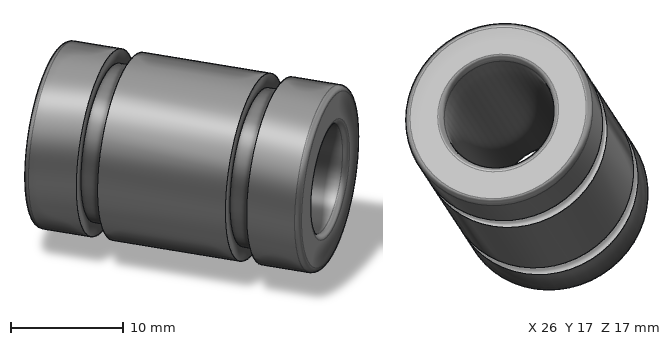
import cadquery as cq

length = 26.0
outer_diameter = 17.0
bore_diameter = 10.0
groove_diameter = 14.4
groove_width = 2.0
collar_length = 5.0
edge_radius = 0.5


def ring(start_x, width, outside, inside):
    """Ring around the X axis, beginning at start_x."""
    return (
        cq.Workplane("YZ", origin=(start_x, 0, 0))
        .circle(outside / 2)
        .circle(inside / 2)
        .extrude(width)
    )


sleeve = ring(-length / 2, length, outer_diameter, bore_diameter)

sleeve = sleeve.faces("<X or >X").edges().fillet(edge_radius)

groove_offset = length / 2 - collar_length - groove_width / 2
for side in (-1, 1):
    groove_start = side * groove_offset - groove_width / 2
    sleeve = sleeve.cut(ring(groove_start, groove_width, 2 * outer_diameter, groove_diameter))

result = sleeve